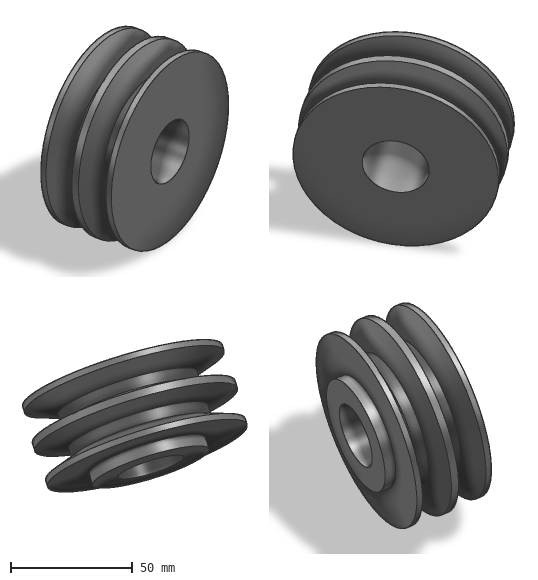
import cadquery as cq

total_width = 40.0
hub_length = 5.0
hub_diameter = 50.1
bore_diameter = 28.05

middle_rim_diameter = 87.4
end_rim_diameter = 86.1
groove_floor_diameter = 60.0
end_rim_width = 2.6
middle_rim_width = 3.3
groove_floor_width = 5.0
outer_flank_width = 5.0

body_center = (hub_length + total_width) / 2


def revolved(profile):
    """Revolve a profile of (x, radius) points about the X axis."""
    return (
        cq.Workplane("XY")
        .polyline(profile)
        .close()
        .revolve(360, (0, 0, 0), (1, 0, 0))
    )


def plain_disc(diameter, start, end):
    """Solid cylinder along X between two positions."""
    return cq.Workplane("YZ").workplane(offset=start).circle(diameter / 2).extrude(end - start)


def grooved_half(side):
    """Half of the grooved body, from its middle plane to one end (side is -1 or 1)."""
    half_width = (total_width - hub_length) / 2
    flank_top = half_width - end_rim_width
    floor_outer = flank_top - outer_flank_width
    floor_inner = floor_outer - groove_floor_width
    outline = [
        (0, 0),
        (0, middle_rim_diameter / 2),
        (middle_rim_width / 2, middle_rim_diameter / 2),
        (floor_inner, groove_floor_diameter / 2),
        (floor_outer, groove_floor_diameter / 2),
        (flank_top, end_rim_diameter / 2),
        (half_width, end_rim_diameter / 2),
        (half_width, 0),
    ]
    return revolved([(body_center + side * x, radius) for x, radius in outline])


hub = plain_disc(hub_diameter, 0, body_center)
bore = plain_disc(bore_diameter, 0, total_width)

result = grooved_half(-1).union(grooved_half(1)).union(hub).cut(bore)